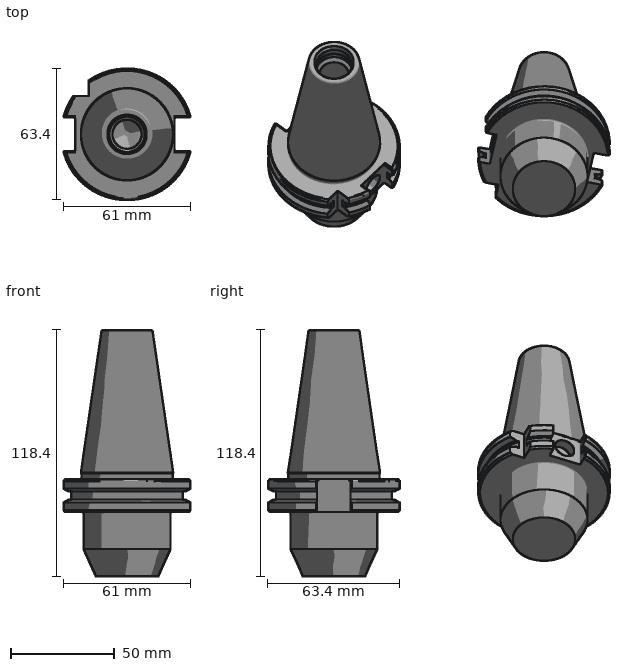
import cadquery as cq
import math

overall_height = 118.4
gauge_z = 50.0
flange_top_z = 46.8
flange_bottom_z = 30.9
body_cone_top_z = 13.0
groove_z = (flange_top_z + flange_bottom_z) / 2

gauge_radius = 22.3
taper_per_side = 7 / 48
tail_radius = gauge_radius - taper_per_side * (overall_height - gauge_z)
neck_radius = 22.0
flange_radius = 31.7
groove_floor_radius = 28.1
body_radius = 21.0
nose_radius = 15.0

tail_blend = 1.0
gauge_relief_height = 0.6
neck_blend = 0.5
body_blend = 0.7
flange_chamfer = 1.0
flange_edge_blend = 0.5

groove_floor_half_width = 2.0
groove_cone_depth = 2.5
groove_cone_height = groove_cone_depth * math.tan(math.radians(30))

slot_width = 16.1
slot_floor_left = 25.0
slot_floor_right = 22.9
slot_corner_radius = 0.7
slot_chamfer = 0.7

notch_offset = 18.5

pocket_radius = 5.0
pocket_depth = 5.0

bore_mouth_radius = 9.5
bore_mouth_depth = 1.9
counterbore_radius = 8.5
counterbore_depth = 5.5
relief_radius = 8.8
relief_depth = 8.4
thread_radius = 7.0
thread_start_depth = 10.2
thread_end_depth = 29.6
drill_point_slope = math.tan(math.radians(30))

flange_height = flange_top_z - flange_bottom_z
overrun = 1.2


def turned_outline():
    """Solid of revolution, from the nose up to the small end of the taper."""
    groove_half_width = groove_floor_half_width + groove_cone_height
    groove_cone_root = flange_radius - groove_cone_depth
    rim_z = flange_top_z - flange_chamfer
    rim_radius = flange_radius - flange_chamfer
    blend_length = flange_edge_blend * math.tan(math.radians(22.5))
    blend_step = blend_length * math.sqrt(0.5)
    profile = (
        cq.Workplane("XZ")
        .moveTo(0, 0)
        .lineTo(nose_radius, 0)
        .lineTo(body_radius, body_cone_top_z)
        .lineTo(body_radius, flange_bottom_z - body_blend)
        .tangentArcPoint((body_radius + body_blend, flange_bottom_z), relative=False)
        .lineTo(flange_radius - flange_chamfer, flange_bottom_z)
        .lineTo(flange_radius, flange_bottom_z + flange_chamfer)
        .lineTo(flange_radius, groove_z - groove_half_width)
        .lineTo(groove_cone_root, groove_z - groove_floor_half_width)
        .lineTo(groove_floor_radius, groove_z - groove_floor_half_width)
        .lineTo(groove_floor_radius, groove_z + groove_floor_half_width)
        .lineTo(groove_cone_root, groove_z + groove_floor_half_width)
        .lineTo(flange_radius, groove_z + groove_half_width)
        .lineTo(flange_radius, rim_z - blend_length)
        .tangentArcPoint((flange_radius - blend_step, rim_z + blend_step), relative=False)
        .lineTo(rim_radius + blend_step, flange_top_z - blend_step)
        .tangentArcPoint((rim_radius - blend_length, flange_top_z), relative=False)
        .lineTo(neck_radius + neck_blend, flange_top_z)
        .tangentArcPoint((neck_radius, flange_top_z + neck_blend), relative=False)
        .lineTo(neck_radius, gauge_z - gauge_relief_height)
        .lineTo(gauge_radius, gauge_z)
        .lineTo(tail_radius, overall_height)
        .lineTo(0, overall_height)
        .close()
    )
    body = profile.revolve(360, (0, 0, 0), (0, 1, 0))
    return body.faces(">Z").edges().fillet(tail_blend)


def pull_stud_bore():
    """Stepped bore from the small end, with a relief, a conical seat and a drill point."""
    steps = [
        (0, 0),
        (bore_mouth_radius, 0),
        (counterbore_radius, bore_mouth_depth),
        (counterbore_radius, counterbore_depth),
        (relief_radius, counterbore_depth),
        (relief_radius, relief_depth),
        (thread_radius, thread_start_depth),
        (thread_radius, thread_end_depth),
        (0, thread_end_depth + thread_radius * drill_point_slope),
    ]
    outline = [(radius, overall_height - depth) for radius, depth in steps]
    return cq.Workplane("XZ").polyline(outline).close().revolve(360, (0, 0, 0), (0, 1, 0))


def drive_slot(floor_distance):
    """Cutter for the slot on the +X side: rounded floor corners, chamfered wall edges."""
    half_width = slot_width / 2
    rim_x = math.sqrt(flange_radius**2 - half_width**2)
    reach = flange_radius + overrun
    flare = half_width + reach - rim_x + slot_chamfer

    channel = (
        cq.Workplane("XY", origin=(0, 0, flange_bottom_z))
        .moveTo((floor_distance + reach) / 2, 0)
        .rect(reach - floor_distance, slot_width)
        .extrude(flange_height)
        .edges("|Z and <X")
        .fillet(slot_corner_radius)
    )
    rim_flare = (
        cq.Workplane("XY", origin=(0, 0, flange_bottom_z))
        .polyline([
            (rim_x - slot_chamfer, -half_width),
            (reach, -flare),
            (reach, flare),
            (rim_x - slot_chamfer, half_width),
        ])
        .close()
        .extrude(flange_height)
    )
    top_flare = (
        cq.Workplane("YZ", origin=(floor_distance, 0, 0))
        .polyline([
            (-half_width, flange_top_z - slot_chamfer),
            (-half_width - slot_chamfer, flange_top_z),
            (half_width + slot_chamfer, flange_top_z),
            (half_width, flange_top_z - slot_chamfer),
        ])
        .close()
        .extrude(reach - floor_distance)
    )
    return channel.union(rim_flare).union(top_flare)


def orientation_notch():
    """Square corner cut through the whole flange height."""
    size = flange_radius - notch_offset
    return cq.Workplane("XY").box(size, size, flange_height, centered=False).translate(
        (-flange_radius, notch_offset, flange_bottom_z)
    )


def slot_pocket():
    """Blind round pocket drilled along X from the floor of the -X slot."""
    return (
        cq.Workplane("YZ", origin=(-slot_floor_left, 0, groove_z))
        .circle(pocket_radius)
        .extrude(pocket_depth)
    )


result = (
    turned_outline()
    .cut(pull_stud_bore())
    .cut(drive_slot(slot_floor_right))
    .cut(drive_slot(slot_floor_left).rotate((0, 0, 0), (0, 0, 1), 180))
    .cut(orientation_notch())
    .cut(slot_pocket())
)